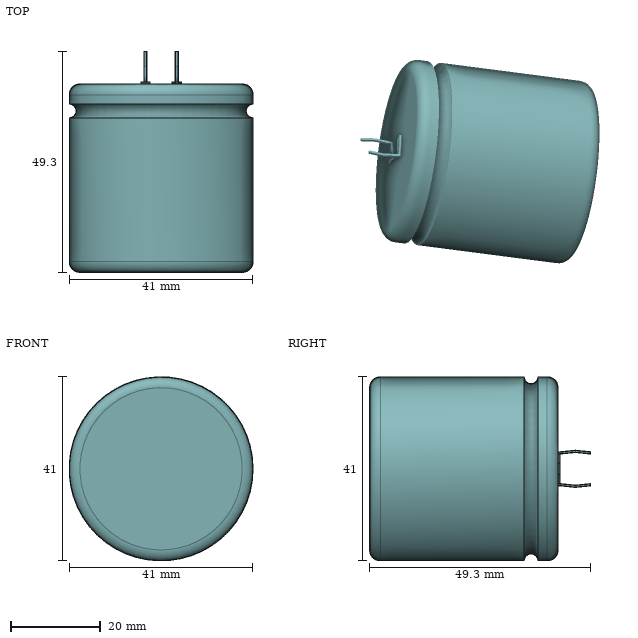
import cadquery as cq

can_diameter = 41.0
can_radius = can_diameter / 2
can_length = 42.0
end_round = 2.4
overall_length = 49.3

groove_radius = 1.55
groove_from_terminal_end = 6.0
groove_y = can_length - groove_from_terminal_end

sheet_thickness = 0.5
terminal_offset_x = 3.5
leg_outer_z = 3.8
leg_inner_z = leg_outer_z - sheet_thickness
leg_width = 0.7
leg_bulge = 0.35
foot_width = 2.05
foot_half_length = 1.3
foot_top_y = can_length + sheet_thickness
leg_bulge_y = (foot_top_y + overall_length) / 2


def make_can():
    """Cylinder with both end edges rounded and a half-round groove."""
    can = cq.Workplane("XZ").circle(can_radius).extrude(-can_length)
    can = can.edges().fillet(end_round)
    groove = (
        cq.Workplane("XY")
        .center(can_radius, groove_y)
        .circle(groove_radius)
        .revolve(360, (-can_radius, 0), (-can_radius, 1))
    )
    return can.cut(groove)


def make_terminal():
    """Foot plate lying on the can end, tapering to a leg that bows outwards."""
    half_foot = foot_width / 2
    half_leg = leg_width / 2
    foot = (
        cq.Workplane("XZ", origin=(terminal_offset_x, can_length, 0))
        .polyline([
            (-half_foot, -foot_half_length),
            (half_foot, -foot_half_length),
            (half_foot, foot_half_length),
            (half_leg, leg_inner_z),
            (half_leg, leg_outer_z),
            (-half_leg, leg_outer_z),
            (-half_leg, leg_inner_z),
            (-half_foot, foot_half_length),
        ])
        .close()
        .extrude(-sheet_thickness)
    )
    leg = (
        cq.Workplane("YZ", origin=(terminal_offset_x, 0, 0))
        .polyline([
            (can_length, leg_inner_z),
            (foot_top_y, leg_inner_z),
            (leg_bulge_y, leg_inner_z + leg_bulge),
            (overall_length, leg_inner_z),
            (overall_length, leg_outer_z),
            (leg_bulge_y, leg_outer_z + leg_bulge),
            (foot_top_y, leg_outer_z),
            (can_length, leg_outer_z),
        ])
        .close()
        .extrude(half_leg, both=True)
    )
    return foot.union(leg)


result = make_can()
for turn in (0, 180):
    result = result.union(make_terminal().rotate((0, 0, 0), (0, 1, 0), turn))